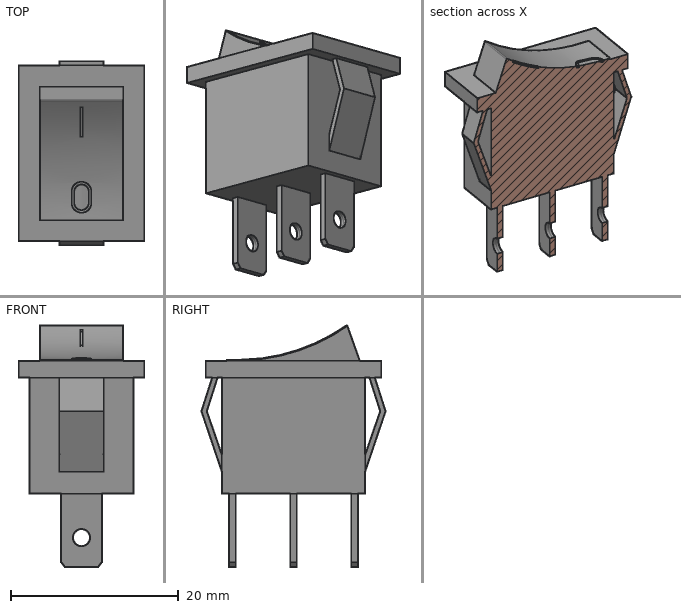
import cadquery as cq

bezel_width = 15.0
bezel_length = 20.95
bezel_thickness = 2.0
body_width = 12.45
body_length = 17.1
body_height = 13.83
body_bottom = -bezel_thickness - body_height

rocker_width = 10.0
rocker_front = -7.98
rocker_back = 7.93
peak_y = 6.4
peak_height = 4.3
middle_height = 1.15
lip_height = 0.17
edge_radius = 0.1

mark_depth = 0.2
mark_tool_height = 8.65
bar_width = 0.3
bar_length = 3.55
bar_y = 3.75
ring_y = -5.25
ring_width = 2.35
ring_length = 3.7
ring_line = 0.32

clip_width = 5.3
clip_span = 22.0
clip_reach = clip_span / 2
clip_leaf = 0.65
clip_top = -bezel_thickness
clip_top_y = 9.7
clip_knee = -6.0
clip_outer_foot = -13.23
clip_inner_foot = -11.15

terminal_width = 4.9
terminal_thickness = 0.8
terminal_length = 8.75
terminal_pitch = 7.3
terminal_hole = 2.02
hole_above_tip = 3.52
tip_chamfer_x = 0.45
tip_chamfer_z = 0.6
terminal_tip = body_bottom - terminal_length


def box_below(width, length, height, top):
    return cq.Workplane("XY").workplane(offset=top).rect(width, length).extrude(-height)


def rocker_prism(drop=0.0):
    """Rocker with its concave upper face lowered by drop."""
    return (
        cq.Workplane("YZ")
        .moveTo(rocker_back, -bezel_thickness)
        .lineTo(rocker_back, 0)
        .lineTo(peak_y, peak_height - drop)
        .threePointArc((0, middle_height - drop), (rocker_front, lip_height - drop))
        .lineTo(rocker_front, -bezel_thickness)
        .close()
        .extrude(rocker_width / 2, both=True)
    )


def make_rocker():
    rocker = rocker_prism()
    side_edges = rocker.faces("<X or >X").edges("%CIRCLE")
    peak_edge = rocker.edges("|X").edges(">Z")
    rocker = side_edges.add(peak_edge).fillet(edge_radius)

    bar = cq.Workplane("XY").center(0, bar_y).rect(bar_width, bar_length).extrude(mark_tool_height)
    ring = (
        cq.Workplane("XY", origin=(0, ring_y, -bezel_thickness))
        .slot2D(ring_length, ring_width, 90)
        .slot2D(ring_length - 2 * ring_line, ring_width - 2 * ring_line, 90)
        .extrude(mark_tool_height)
    )
    engraving = bar.union(ring).cut(rocker_prism(mark_depth))
    return rocker.cut(engraving)


def make_clip():
    """Bent leaf on the +Y end of the body."""
    wall = body_length / 2
    return (
        cq.Workplane("YZ")
        .polyline([
            (clip_top_y, clip_top),
            (clip_reach, clip_knee),
            (wall, clip_outer_foot),
            (wall, clip_inner_foot),
            (clip_reach - clip_leaf, clip_knee),
            (clip_top_y - clip_leaf, clip_top),
        ])
        .close()
        .extrude(clip_width / 2, both=True)
    )


def make_terminal(y):
    half_width = terminal_width / 2
    blade = (
        cq.Workplane("XZ", origin=(0, y, 0))
        .polyline([
            (-half_width, body_bottom),
            (half_width, body_bottom),
            (half_width, terminal_tip + tip_chamfer_z),
            (half_width - tip_chamfer_x, terminal_tip),
            (-half_width + tip_chamfer_x, terminal_tip),
            (-half_width, terminal_tip + tip_chamfer_z),
        ])
        .close()
        .extrude(terminal_thickness / 2, both=True)
    )
    hole = (
        cq.Workplane("XZ", origin=(0, y, terminal_tip + hole_above_tip))
        .circle(terminal_hole / 2)
        .extrude(terminal_thickness, both=True)
    )
    return blade.cut(hole)


bezel = box_below(bezel_width, bezel_length, bezel_thickness, 0)
body = box_below(body_width, body_length, body_height, -bezel_thickness)
clip = make_clip()

result = bezel.cut(rocker_prism()).union(make_rocker()).union(body)
result = result.union(clip).union(clip.mirror("XZ"))
for row in (-1, 0, 1):
    result = result.union(make_terminal(row * terminal_pitch))